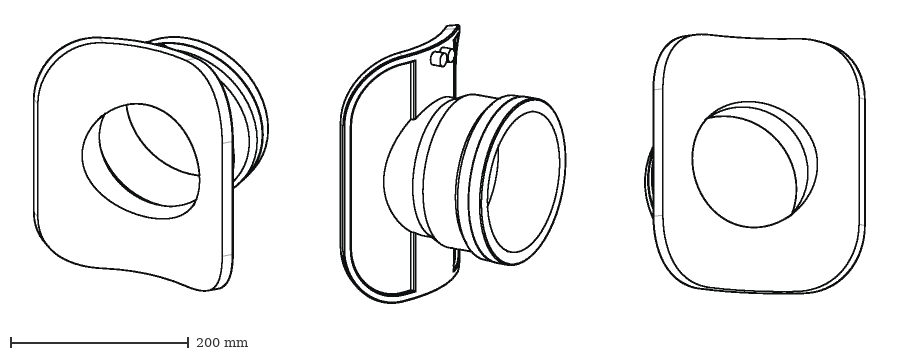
import cadquery as cq
import math

saddle_inner_radius = 157.5
saddle_thickness = 13.5
saddle_outer_radius = saddle_inner_radius + saddle_thickness
saddle_height = 290.0
saddle_half_angle = 45.9
corner_radius = 72.5
edge_chamfer = 1.5

recess_depth = 4.5
recess_margin = 10.0
band_half_width = 43.5

overall_depth = 172.3
saddle_tip_y = saddle_inner_radius * math.cos(math.radians(saddle_half_angle))
socket_end_y = saddle_tip_y + overall_depth
neck_radius = 159.0 / 2
barrel_radius = 175.0 / 2
collar_radius = 188.2 / 2
lip_radius = 190.0 / 2
lip_chamfer = 1.5
lip_length = 16.2
collar_length = 30.7
barrel_start = 37.5
barrel_end = 79.8
neck_start = 97.7

bore_radius = 144.0 / 2
socket_bore_radius = 160.0 / 2
bore_cone_start = barrel_end
bore_cone_end = 93.5

pin_diameter = 15.5
pin_spacing = 17.7
pin_z = 130.5
pin_end_y = 182.7


def shell_sector(inner_radius, outer_radius, half_angle, height, fillet_radius):
    """Pipe-shell sector centred on +Y, its corners rounded square to each end face."""
    shell = cq.Workplane("XY").circle(outer_radius).circle(inner_radius).extrude(height / 2, both=True)
    reach = 2 * outer_radius
    right_trim = (
        cq.Workplane("XY")
        .box(reach, 2 * reach, height)
        .translate((-reach / 2, 0, 0))
        .edges("|Y and >X")
        .fillet(fillet_radius)
        .rotate((0, 0, 0), (0, 0, 1), -half_angle)
    )
    left_trim = right_trim.mirror("YZ")
    return shell.intersect(right_trim).intersect(left_trim)


def saddle_plate():
    plate = shell_sector(
        saddle_inner_radius, saddle_outer_radius, saddle_half_angle, saddle_height, corner_radius
    )
    margin_angle = math.degrees(math.asin(recess_margin / saddle_outer_radius))
    recess = shell_sector(
        saddle_outer_radius - recess_depth,
        saddle_outer_radius + recess_depth,
        saddle_half_angle - margin_angle,
        saddle_height - 2 * recess_margin,
        corner_radius - recess_margin,
    )
    band = cq.Workplane("XY").box(2 * band_half_width, 3 * saddle_outer_radius, saddle_height)
    plate = plate.cut(recess.cut(band))
    outer_face = plate.faces(cq.selectors.NearestToPointSelector((0, saddle_outer_radius, 0)))
    return outer_face.edges().chamfer(edge_chamfer)


def revolve_about_y(points):
    return cq.Workplane("XY").polyline(points).close().revolve(360, (0, 0, 0), (0, 1, 0))


def socket_body():
    profile = [
        (0, 0),
        (neck_radius, 0),
        (neck_radius, socket_end_y - neck_start),
        (barrel_radius, socket_end_y - barrel_end),
        (barrel_radius, socket_end_y - barrel_start),
        (collar_radius, socket_end_y - collar_length),
        (collar_radius, socket_end_y - lip_length),
        (lip_radius, socket_end_y - lip_length),
        (lip_radius, socket_end_y - lip_chamfer),
        (lip_radius - lip_chamfer, socket_end_y),
        (0, socket_end_y),
    ]
    mid_wall_radius = saddle_outer_radius - (saddle_thickness + recess_depth) / 2
    pipe_space = cq.Workplane("XY").circle(mid_wall_radius).extrude(saddle_height / 2, both=True)
    return revolve_about_y(profile).cut(pipe_space)


def bore():
    return revolve_about_y([
        (0, 0),
        (bore_radius, 0),
        (bore_radius, socket_end_y - bore_cone_end),
        (socket_bore_radius, socket_end_y - bore_cone_start),
        (socket_bore_radius, socket_end_y),
        (0, socket_end_y),
    ])


def terminal_pins():
    root_y = saddle_outer_radius - saddle_thickness / 2
    return (
        cq.Workplane("XZ", origin=(0, root_y, pin_z))
        .pushPoints([(-pin_spacing / 2, 0), (pin_spacing / 2, 0)])
        .circle(pin_diameter / 2)
        .extrude(root_y - pin_end_y)
    )


result = saddle_plate().union(socket_body()).union(terminal_pins()).cut(bore())